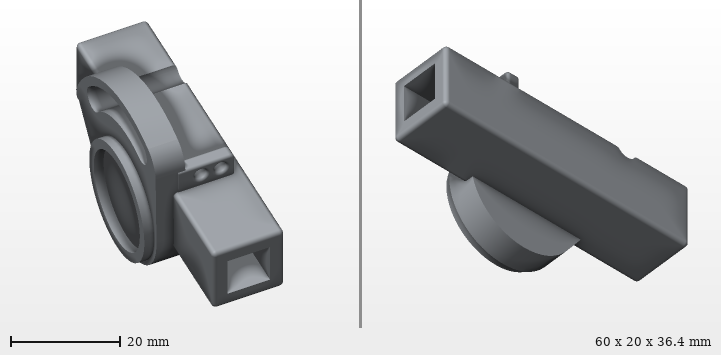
import cadquery as cq
import math

tube_length = 60.0
tube_size = 14.45
tube_bore = 8.6
tube_back = 12.0
tube_center_z = 4.2
tube_edge_radius = 0.9

plate_thickness = 6.0
pivot_radius = 13.0
sector_radius = 23.4
sector_start_angle = 57.6
sector_end_angle = 160.0
sector_corner_radius = 5.5

slot_radius = 19.0
slot_width = 5.0
slot_start_angle = 70.5
slot_end_angle = 140.5

hub_radius = 12.0
hub_inner_radius = 10.0
hub_height = 2.0

tab_thickness = 2.9
tab_right_x = 12.85
tab_depth = 9.95
tab_height = 5.05
tab_corner_radius = 1.0
tab_edge_radius = 0.6
hole_diameter = 2.5
hole_height = 2.6
hole_depths = (3.1, 7.15)

tube_center_y = tube_back - tube_size / 2
tube_top = tube_center_z + tube_size / 2


def polar(radius, angle):
    """Point in the XZ plane at an angle in degrees measured from +X towards +Z."""
    return (radius * math.cos(math.radians(angle)), radius * math.sin(math.radians(angle)))


def make_tube():
    center = (0, tube_center_y, tube_center_z)
    block = cq.Workplane("XY").box(tube_length, tube_size, tube_size)
    return block.edges().fillet(tube_edge_radius).translate(center)


def make_plate():
    tangent_span = math.degrees(math.acos(pivot_radius / sector_radius))
    right_tangent = sector_start_angle - tangent_span
    left_tangent = sector_end_angle + tangent_span
    sector_middle = (sector_start_angle + sector_end_angle) / 2
    pivot_middle = (left_tangent + right_tangent + 360) / 2
    plate = (
        cq.Workplane("XZ")
        .moveTo(*polar(sector_radius, sector_start_angle))
        .threePointArc(polar(sector_radius, sector_middle), polar(sector_radius, sector_end_angle))
        .lineTo(*polar(pivot_radius, left_tangent))
        .threePointArc(polar(pivot_radius, pivot_middle), polar(pivot_radius, right_tangent))
        .close()
        .extrude(plate_thickness)
    )
    corner_x, corner_z = polar(sector_radius, sector_start_angle)
    corner_edge = cq.selectors.NearestToPointSelector((corner_x, -plate_thickness / 2, corner_z))
    return plate.edges(corner_edge).fillet(sector_corner_radius)


def make_hub():
    return cq.Workplane("XZ", origin=(0, -plate_thickness, 0)).circle(hub_radius).extrude(hub_height)


def make_hub_recess():
    front = -plate_thickness - hub_height
    return cq.Workplane("XZ", origin=(0, front, 0)).circle(hub_inner_radius).extrude(-hub_height)


def make_tab():
    """Tab with two cross holes; its outline and both hole rims are rounded over."""
    root = (tube_size - tube_bore) / 4
    left_x = tab_right_x - tab_thickness
    tab = (
        cq.Workplane("XY")
        .box(tab_thickness, tab_depth + root, tab_height + root, centered=False)
        .translate((left_x, -root, tube_top - root))
        .edges(">Y and >Z")
        .fillet(tab_corner_radius)
    )
    hole_centers = [(depth, tube_top + hole_height) for depth in hole_depths]
    holes = (
        cq.Workplane("YZ", origin=(left_x, 0, 0))
        .pushPoints(hole_centers)
        .circle(hole_diameter / 2)
        .extrude(tab_thickness)
    )
    tab = tab.faces("<X or >X").edges("not(<Y or <Z)").fillet(tab_edge_radius)
    return tab.cut(holes).edges("%CIRCLE").edges("<X or >X").fillet(tab_edge_radius)


def make_slot():
    """Curved slot through the plate that also grooves the top of the tube."""
    inner = slot_radius - slot_width / 2
    outer = slot_radius + slot_width / 2
    middle = (slot_start_angle + slot_end_angle) / 2
    cap_angle = math.degrees(slot_width / 2 / slot_radius)
    return (
        cq.Workplane("XZ", origin=(0, tube_back, 0))
        .moveTo(*polar(outer, slot_start_angle))
        .threePointArc(polar(outer, middle), polar(outer, slot_end_angle))
        .threePointArc(polar(slot_radius, slot_end_angle + cap_angle), polar(inner, slot_end_angle))
        .threePointArc(polar(inner, middle), polar(inner, slot_start_angle))
        .threePointArc(polar(slot_radius, slot_start_angle - cap_angle), polar(outer, slot_start_angle))
        .close()
        .extrude(tube_back + plate_thickness)
    )


def make_bore():
    return cq.Workplane("XY").box(tube_length, tube_bore, tube_bore).translate((0, tube_center_y, tube_center_z))


body = make_tube().union(make_plate()).union(make_hub()).union(make_tab())
result = body.cut(make_hub_recess()).cut(make_slot()).cut(make_bore())